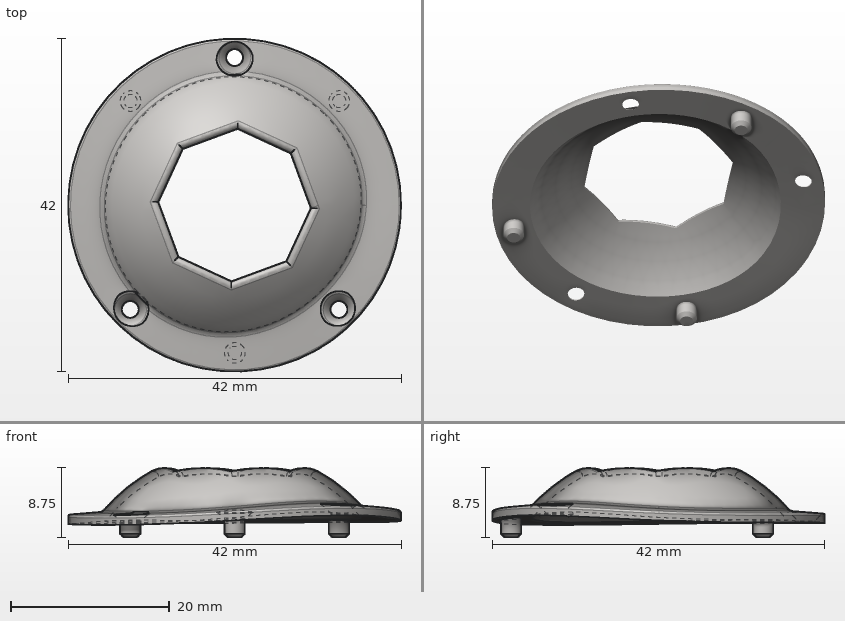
import cadquery as cq
import math

flange_radius = 21.0
flange_inner_radius = 8.4
flange_thickness = 1.18
flange_inward_slope = 0.08
flange_edge_round = 0.3
curve_points = 32
rim_heights = [2.15, 1.9, 1.8, 1.8, 1.7, 1.55, 2.15, 2.77]

dome_radius = 21.67
dome_center_z = -10.63
dome_thickness = 1.0
dome_blend = 0.85
seam_radius_min = 15.1
seam_radius_max = 17.65
seam_height_min = 2.1

opening_sides = 8
opening_corner_radius = 9.6
opening_turn = 87.7
opening_edge_round = 0.67
opening_height_min = 7.15

fastener_circle_radius = 18.6
hole_angles = [90, 225, 315]
pin_angles = [45, 135, 270]
hole_diameter = 2.1
sink_diameter = 4.05
sink_depth = 0.92
sink_edge_round = 0.3
pin_diameter = 2.6
pin_top_z = 2.5
pin_chamfer = 0.45

selection_margin = 0.05
core_overlap = 0.4
trim_depth = 37.8
clearance = 12.6


def rim_height(turn):
    """Smooth periodic height through all rim heights (trigonometric interpolation)."""
    count = len(rim_heights)
    total = 0
    for i, height in enumerate(rim_heights):
        lag = turn - 2 * math.pi * i / count
        weight = 1 + math.cos(lag * count / 2)
        weight += sum(2 * math.cos(k * lag) for k in range(1, count // 2))
        total += height * weight / count
    return total


def wave_height(radius, turn):
    """Height of the flange underside."""
    return rim_height(turn) + flange_inward_slope * (flange_radius - radius)


def wave_curve(radius, offset):
    """Closed curve at one radius that follows the flange wave."""
    turns = [2 * math.pi * i / curve_points for i in range(curve_points)]
    points = [
        cq.Vector(radius * math.cos(turn), radius * math.sin(turn), wave_height(radius, turn) + offset)
        for turn in turns
    ]
    return cq.Edge.makeSpline(points, periodic=True)


def wavy_ring(inner_radius, outer_radius, bottom_offset, top_offset):
    """Ring whose top and bottom both follow the flange wave."""
    corners = [
        wave_curve(inner_radius, bottom_offset),
        wave_curve(outer_radius, bottom_offset),
        wave_curve(outer_radius, top_offset),
        wave_curve(inner_radius, top_offset),
    ]
    faces = [
        cq.Face.makeRuledSurface(corner, corners[(i + 1) % len(corners)])
        for i, corner in enumerate(corners)
    ]
    return cq.Workplane(obj=cq.Solid.makeSolid(cq.Shell.makeShell(faces)).fix())


def ball(radius):
    return cq.Workplane().sphere(radius).translate((0, 0, dome_center_z))


def fastener_point(angle):
    turn = math.radians(angle)
    return fastener_circle_radius * math.cos(turn), fastener_circle_radius * math.sin(turn)


def screw_cutter(angle):
    """Through hole with a conical countersink and a flared rim."""
    top = wave_height(fastener_circle_radius, math.radians(angle)) + flange_thickness
    hole_radius = hole_diameter / 2
    sink_radius = sink_diameter / 2
    rim_radius = sink_radius + sink_edge_round
    profile = (
        cq.Workplane("XZ")
        .moveTo(0, top - clearance)
        .lineTo(hole_radius, top - clearance)
        .lineTo(hole_radius, top - sink_depth - sink_edge_round / 2)
        .lineTo(sink_radius, top - sink_edge_round / 2)
        .lineTo(rim_radius, top)
        .lineTo(rim_radius, top + sink_edge_round)
        .lineTo(0, top + sink_edge_round)
        .close()
    )
    return profile.revolve().translate((*fastener_point(angle), 0))


def pin(angle):
    body = cq.Workplane().circle(pin_diameter / 2).extrude(pin_top_z)
    return body.faces("<Z").chamfer(pin_chamfer).translate((*fastener_point(angle), 0))


def octagon_tool():
    across_corners = 2 * opening_corner_radius
    tool = cq.Workplane().polygon(opening_sides, across_corners).extrude(clearance)
    return tool.rotate((0, 0, 0), (0, 0, 1), opening_turn)


def edges_in_band(body, low_radius, high_radius, low_z):
    """Edges whose distance from the Z axis and height both lie in the given ranges."""
    chosen = []
    for edge in body.edges().vals():
        samples = [edge.positionAt(t) for t in (0, 0.3, 0.5, 0.7, 1)]
        radii = [math.hypot(p.x, p.y) for p in samples]
        in_band = low_radius < min(radii) and max(radii) < high_radius
        if in_band and min(p.z for p in samples) > low_z:
            chosen.append(edge)
    return body.newObject(chosen)


def rounded_flange():
    ring = wavy_ring(flange_inner_radius, flange_radius, 0, flange_thickness)
    full_turn_edges = [edge for edge in ring.edges().vals() if edge.Length() > 6 * flange_radius]
    top_rim = max(full_turn_edges, key=lambda edge: edge.Center().z)
    return ring.newObject([top_rim]).fillet(flange_edge_round)


def solid_dome():
    """Ball cap ending inside the flange thickness."""
    middle = flange_thickness / 2
    below = wavy_ring(flange_inner_radius, flange_radius + clearance, -trim_depth, middle)
    core = cq.Workplane().circle(flange_inner_radius + core_overlap).extrude(-trim_depth)
    return ball(dome_radius).cut(below).cut(core)


body = rounded_flange().union(solid_dome())
body = edges_in_band(body, seam_radius_min, seam_radius_max, seam_height_min).fillet(dome_blend)
body = body.cut(octagon_tool())
opening_flat_radius = opening_corner_radius * math.cos(math.pi / opening_sides)
opening_rim = edges_in_band(
    body, opening_flat_radius - selection_margin, opening_corner_radius + selection_margin, opening_height_min
)
body = opening_rim.fillet(opening_edge_round)
body = body.cut(ball(dome_radius - dome_thickness))
for angle in hole_angles:
    body = body.cut(screw_cutter(angle))
for angle in pin_angles:
    body = body.union(pin(angle))

result = body